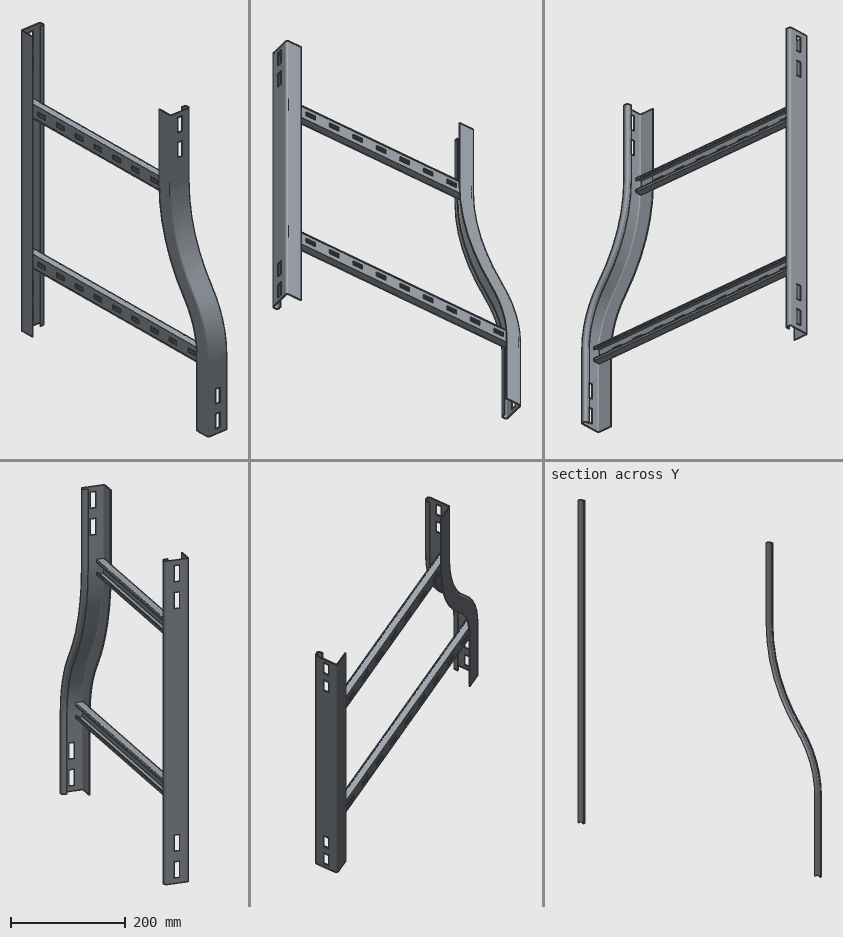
import cadquery as cq
import math

LENGTH = 600.0
WIDTH_NARROW = 399.5
WIDTH_WIDE = 500.0
DEPTH = 45.0

SHEET = 2.0

RAIL_BEND = 4.0
FLANGE_WIDTH = 31.0
HOOK_WIDTH = 12.0
HOOK_DROP = 9.5

BEND_TOP = 450.0
BEND_BOTTOM = 150.0
UPPER_SHARE = 0.6
OFFSET = WIDTH_WIDE - WIDTH_NARROW
BEND_HEIGHT = BEND_TOP - BEND_BOTTOM
RADIUS_SUM = (BEND_HEIGHT**2 + OFFSET**2) / (2 * OFFSET)
UPPER_RADIUS = UPPER_SHARE * RADIUS_SUM
LOWER_RADIUS = RADIUS_SUM - UPPER_RADIUS
BEND_ANGLE = math.asin(BEND_HEIGHT / RADIUS_SUM)

RAIL_SLOT_LENGTH = 30.0
RAIL_SLOT_WIDTH = 10.0
RAIL_SLOT_OFFSETS = (25.0, 75.0)
BOTTOM_SLOTS = RAIL_SLOT_OFFSETS
TOP_SLOTS = tuple(LENGTH - offset for offset in RAIL_SLOT_OFFSETS)

RUNG_HEIGHT = 30.0
RUNG_DEPTH = 15.0
RUNG_LIP = 6.0
RUNG_END_GAP = 5.0
RUNG_SLOT_LENGTH = 20.0
RUNG_SLOT_HEIGHT = 8.0
NARROW_RUNG_SLOTS = 7
WIDE_RUNG_SLOTS = 9
WIDE_SLOT_SPAN = 400.0
RUNG_SLOT_PITCH = WIDE_SLOT_SPAN / (WIDE_RUNG_SLOTS - 1)
FIRST_RUNG_SLOT = 53.0
RUNGS = (
    (BEND_TOP, WIDTH_NARROW, NARROW_RUNG_SLOTS),
    (BEND_BOTTOM, WIDTH_WIDE, WIDE_RUNG_SLOTS),
)


def rail_section(outer_x, inward):
    """Closed rail section in the XY plane; inward is +1 or -1, from the web to the frame inside."""

    def at(x, y):
        return (outer_x + inward * x, y)

    r = RAIL_BEND
    inner_r = r - SHEET
    mid = r * (1 - math.sqrt(0.5))
    inner_mid = r - inner_r * math.sqrt(0.5)
    lip_y = DEPTH - HOOK_DROP
    hook_inner = HOOK_WIDTH - SHEET
    return (
        cq.Workplane("XY")
        .moveTo(*at(FLANGE_WIDTH, 0))
        .lineTo(*at(r, 0))
        .threePointArc(at(mid, mid), at(0, r))
        .lineTo(*at(0, DEPTH - r))
        .threePointArc(at(mid, DEPTH - mid), at(r, DEPTH))
        .lineTo(*at(HOOK_WIDTH - r, DEPTH))
        .threePointArc(at(HOOK_WIDTH - mid, DEPTH - mid), at(HOOK_WIDTH, DEPTH - r))
        .lineTo(*at(HOOK_WIDTH, lip_y))
        .lineTo(*at(hook_inner, lip_y))
        .lineTo(*at(hook_inner, DEPTH - r))
        .threePointArc(at(HOOK_WIDTH - inner_mid, DEPTH - inner_mid), at(HOOK_WIDTH - r, DEPTH - SHEET))
        .lineTo(*at(r, DEPTH - SHEET))
        .threePointArc(at(inner_mid, DEPTH - inner_mid), at(SHEET, DEPTH - r))
        .lineTo(*at(SHEET, r))
        .threePointArc(at(inner_mid, inner_mid), at(r, SHEET))
        .lineTo(*at(FLANGE_WIDTH, SHEET))
        .close()
    )


def cut_rail_slots(rail, web_x, heights):
    """Cut rectangular slots, centred at the given heights, through a web centred on web_x."""
    slot = cq.Workplane("XY").box(2 * SHEET, RAIL_SLOT_WIDTH, RAIL_SLOT_LENGTH)
    for z in heights:
        rail = rail.cut(slot.translate((web_x, DEPTH / 2, z)))
    return rail


def make_straight_rail():
    rail = rail_section(0, 1).extrude(LENGTH)
    return cut_rail_slots(rail, SHEET / 2, BOTTOM_SLOTS + TOP_SLOTS)


def make_offset_rail():
    """Rail that follows two tangent arcs from the wide end to the narrow end."""
    upper_centre = (WIDTH_NARROW + UPPER_RADIUS, BEND_TOP)
    lower_centre = (WIDTH_WIDE - LOWER_RADIUS, BEND_BOTTOM)

    def on_lower(angle):
        return (
            lower_centre[0] + LOWER_RADIUS * math.cos(angle),
            lower_centre[1] + LOWER_RADIUS * math.sin(angle),
        )

    def on_upper(angle):
        return (
            upper_centre[0] - UPPER_RADIUS * math.cos(angle),
            upper_centre[1] - UPPER_RADIUS * math.sin(angle),
        )

    path = (
        cq.Workplane("XZ")
        .moveTo(WIDTH_WIDE, 0)
        .lineTo(WIDTH_WIDE, BEND_BOTTOM)
        .threePointArc(on_lower(BEND_ANGLE / 2), on_lower(BEND_ANGLE))
        .threePointArc(on_upper(BEND_ANGLE / 2), (WIDTH_NARROW, BEND_TOP))
        .lineTo(WIDTH_NARROW, LENGTH)
    )
    rail = rail_section(WIDTH_WIDE, -1).sweep(path)
    rail = cut_rail_slots(rail, WIDTH_WIDE - SHEET / 2, BOTTOM_SLOTS)
    return cut_rail_slots(rail, WIDTH_NARROW - SHEET / 2, TOP_SLOTS)


def rung_block(length, depth, height):
    """Bar along X with its front face on Y = 0, centred on Z = 0."""
    return cq.Workplane("XY").box(length, depth, height, centered=(False, False, True))


def make_rung(height, frame_width, slot_count):
    """C-channel rung with lips along its open back, lying on the rail flanges."""
    length = frame_width - 2 * RUNG_END_GAP
    rung = rung_block(length, RUNG_DEPTH, RUNG_HEIGHT).edges("|X").fillet(SHEET)
    hollow = rung_block(length, RUNG_DEPTH - 2 * SHEET, RUNG_HEIGHT - 2 * SHEET)
    back_opening = rung_block(length, RUNG_DEPTH / 2, RUNG_HEIGHT - 2 * RUNG_LIP)
    rung = rung.cut(hollow.translate((0, SHEET, 0)))
    rung = rung.cut(back_opening.translate((0, RUNG_DEPTH / 2, 0)))
    slot = cq.Workplane("XY").box(RUNG_SLOT_LENGTH, 2 * SHEET, RUNG_SLOT_HEIGHT)
    for i in range(slot_count):
        slot_x = FIRST_RUNG_SLOT + i * RUNG_SLOT_PITCH - RUNG_END_GAP
        rung = rung.cut(slot.translate((slot_x, SHEET / 2, 0)))
    return rung.translate((RUNG_END_GAP, SHEET, height))


straight_rail = make_straight_rail()
offset_rail = make_offset_rail()
rungs = [make_rung(*rung) for rung in RUNGS]

result = cq.Compound.makeCompound(
    [straight_rail.val(), offset_rail.val(), *(rung.val() for rung in rungs)]
)